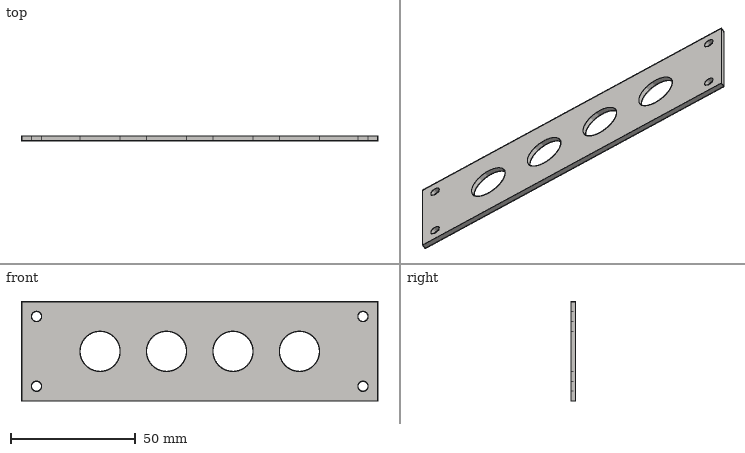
import cadquery as cq

length = 143.0
thickness = 2.0
height = 40.0

screw_diameter = 4.0
screw_spacing_x = 131.0
screw_spacing_z = 28.0

opening_diameter = 16.0
opening_count = 4
opening_row_span = 80.0
opening_pitch = opening_row_span / (opening_count - 1)


def make_plate():
    """Flat plate standing in the XZ plane, centred on the origin."""
    return cq.Workplane("XY").box(length, thickness, height)


def cut_screw_holes(body):
    """One through hole near each corner."""
    return (
        body.faces("<Y")
        .workplane(centerOption="CenterOfBoundBox")
        .rarray(screw_spacing_x, screw_spacing_z, 2, 2)
        .hole(screw_diameter)
    )


def cut_openings(body):
    """Evenly spaced row of through openings."""
    return (
        body.faces("<Y")
        .workplane(centerOption="CenterOfBoundBox")
        .rarray(opening_pitch, 1, opening_count, 1)
        .hole(opening_diameter)
    )


result = cut_openings(cut_screw_holes(make_plate()))